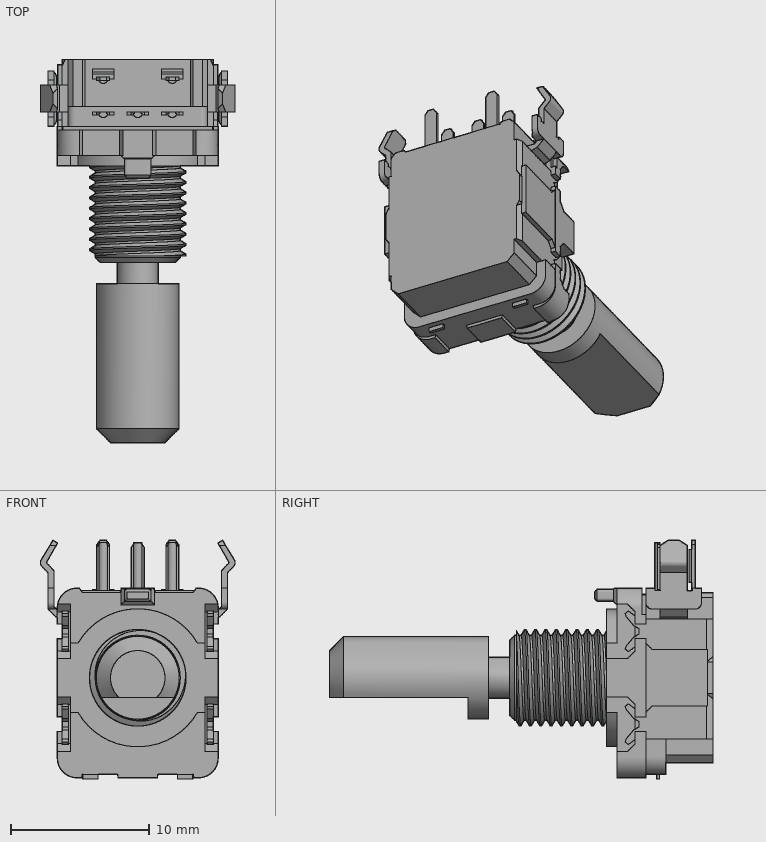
import cadquery as cq
import math


SHAFT_END = 20.04
SHAFT_START = 8.52
SHAFT_RADIUS = 3.0
SHAFT_CHAMFER = 1.03
FLAT_START = 10.02
FLAT_Z = -1.45
NECK_RADIUS = 1.5
BUSHING_LENGTH = 7.0
BUSHING_CHAMFER = 0.35
THREAD_LENGTH = 6.52
THREAD_RADIUS = 3.5
ROOT_RADIUS = 3.08
PITCH = 0.75
FLANK_ANGLE = 30
THREAD_OVERLAP = 0.05
CREST_WIDTH = 0.1
THREAD_PHASE = 0.45

HALF_WIDTH = 5.83
PLATE_FRONT = 0.75
PLATE_BACK = 2.85
PLATE_TOP = 6.5
PLATE_BOTTOM = -7.25
CORNER_RADIUS = 1.45
TOP_RELIEF_Z = 6.15
BOTTOM_RELIEF_Z = -7.0
RELIEF_HALF = 4.0
TOP_RELIEF_SLOPE = 0.22
TOP_PAD_HALF = 1.3
BOTTOM_PAD_HALF = 1.47
BOTTOM_RELIEF_SLOPE = 0.05
COLLAR_RADIUS = 5.0
COLLAR_BAND_HALF = 2.5
GROOVE_FRONT = 2.58
GROOVE_FLOOR_Z = 6.08
GROOVE_BOTTOM_Z = 4.58

NOTCH_Z = 3.35
NOTCH_HALF = 1.97
NOTCH_INNER_X = 4.85
NOTCH_BACK = 2.08
NOTCH_BEVEL = 0.55
RIVET_INNER_X = 5.02
RIVET_SLOT_HALF = 0.53
PRONG_ROOT_Z = 1.1
PRONG_TIP_OUTER = (1.58, 1.47)
PRONG_TIP_INNER = (1.35, 1.28)
PRONG_BEND = (1.42, 1.08)
MOUTH_EDGE = (1.97, 0.42)
MOUTH_ROOT = (2.35, 0.2)

HOUSING_BACK = 7.71
HOUSING_STEP = 4.3
HOUSING_HALF = 5.8
FOOT_BLOCK_RADIUS = 1.25
SIDE_X = 5.47
CORE_HALF = 5.05
CORE_TOP = 6.15
CORE_TOP_CHAMFER = 0.35
CORE_BOTTOM_CHAMFER = 0.58
TOP_POCKET_DEPTH = 0.17
FRONT_BLOCK_TOP = 6.33
FRONT_BLOCK_ROUND = 0.5
SIDE_TOP = 4.25
SIDE_BOTTOM = -4.4
SIDE_BEVEL_X = 0.22
SIDE_BEVEL_Y = 0.47
BLOCK_HALF_Z = 2.05
BLOCK_BACK = 7.33
LUG_ROOT_HALF = 1.53
LUG_TIP_HALF = 1.15
GUSSET_SIZE = 0.45

POST_HALF = 0.97
POST_TOP = 6.4
POST_BOTTOM = 5.52
POST_END = -0.85
POST_EDGE = 0.22
POST_END_CHAMFER = 0.2
POST_FLARE = 0.25

PIN_PITCH = 2.5
PIN_WIDTH = 0.95
PIN_BASE_WIDTH = 1.55
FRONT_BASE_TOP = 6.38
REAR_BASE_TOP = 5.88
PIN_SHOULDER = 0.33
PIN_TIP_WIDTH = 0.45
FRONT_PIN_Y = 3.7
FRONT_PIN_THICKNESS = 0.2
FRONT_PIN_TOP = 9.77
REAR_PIN_Y = 6.15
REAR_PIN_THICKNESS = 0.28
TOP_Z = 9.95
RIB_WIDTH = 0.6
RIB_HEIGHT = 0.2
REAR_RIB_BOTTOM = 6.9
REAR_RIB_TOP = 9.3
REAR_POCKET_Y = (6.27, 7.0)
REAR_POCKET_DEPTH = 0.42
REAR_BEND_START = 6.65
REAR_BEND_END = 6.8

CLIP_FRONT = 2.85
CLIP_BACK = 6.88
CLIP_BOTTOM = 4.97
CLIP_TOP = 6.5
CLIP_CORNER = 0.47
ARM_FRONT = 3.88
ARM_BACK = 5.85
ARM_RELIEF_WIDTH = 0.35
ARM_RELIEF_Z = 6.3
ARM_SHOULDER_Z = 9.57
ARM_TIP_HALF = 0.4
CLIP_OUTER_X = 6.5
CLIP_INNER_X = 6.05
CLIP_ELBOW_X = 7.05
BEND_RUN = 0.55
NECK_INNER = (5.65, 4.77)
INNER_BEND_Z = 5.13
KNEE_Z = 7.6
KNEE_INNER_Z = 7.75
ELBOW_Z = 8.32
ELBOW_INNER_X = 6.6
ELBOW_START = (6.97, 8.08)
ELBOW_END = (6.97, 8.57)
TIP_OUTER = (6.13, TOP_Z)
TIP_INNER = (5.8, 9.75)

FOOT_INNER_X = 2.85
FOOT_Y = (3.64, 3.85)
FOOT_BOTTOM = -7.33

JOIN = 0.15


def box(xs, ys, zs):
    size = (xs[1] - xs[0], ys[1] - ys[0], zs[1] - zs[0])
    return cq.Workplane("XY").box(*size, centered=False).translate((xs[0], ys[0], zs[0]))


def xz_prism(outline, y0, y1):
    """Extrude an (X, Z) outline from y0 to y1."""
    return cq.Workplane("XZ", origin=(0, y1, 0)).polyline(outline).close().extrude(y1 - y0)


def yz_prism(outline, x0, x1):
    """Extrude a (Y, Z) outline from x0 to x1."""
    return cq.Workplane("YZ", origin=(x0, 0, 0)).polyline(outline).close().extrude(x1 - x0)


def y_cylinder(radius, y0, y1):
    return cq.Workplane("XZ", origin=(0, y1, 0)).circle(radius).extrude(y1 - y0)


def with_mirrored_z(points):
    """Close an upper half outline with its mirror image below Z = 0."""
    return points + [(a, -z) for a, z in reversed(points)]


def both_sides(shape):
    return shape.union(shape.mirror("YZ"))


def make_shaft():
    neck = y_cylinder(NECK_RADIUS, -SHAFT_START - JOIN, -BUSHING_LENGTH + JOIN)
    shaft = y_cylinder(SHAFT_RADIUS, -SHAFT_END, -SHAFT_START).faces("<Y").chamfer(SHAFT_CHAMFER)
    below_flat = box(
        (-SHAFT_RADIUS, SHAFT_RADIUS), (-SHAFT_END, -FLAT_START), (-SHAFT_RADIUS, FLAT_Z)
    )
    return shaft.cut(below_flat).union(neck)


def make_bushing():
    core = y_cylinder(ROOT_RADIUS, -BUSHING_LENGTH, JOIN).faces("<Y").chamfer(BUSHING_CHAMFER)
    flank = math.tan(math.radians(FLANK_ANGLE))
    crest_half = CREST_WIDTH / 2
    base_half = crest_half + flank * (THREAD_RADIUS - ROOT_RADIUS + THREAD_OVERLAP)
    lead_in = 2 * PITCH - THREAD_PHASE
    turns = math.ceil((THREAD_LENGTH + lead_in) / PITCH) + 1
    path = cq.Wire.makeHelix(PITCH, turns * PITCH, ROOT_RADIUS)
    ridge = (
        cq.Workplane("XZ")
        .polyline([
            (ROOT_RADIUS - THREAD_OVERLAP, -base_half),
            (THREAD_RADIUS, -crest_half),
            (THREAD_RADIUS, crest_half),
            (ROOT_RADIUS - THREAD_OVERLAP, base_half),
        ])
        .close()
        .sweep(cq.Workplane(path), isFrenet=True)
        .rotate((0, 0, 0), (1, 0, 0), 90)
        .translate((0, lead_in, 0))
    )
    ridge = ridge.intersect(y_cylinder(THREAD_RADIUS + 0.28, -THREAD_LENGTH, JOIN))
    return core.union(ridge)


def make_plate():
    height = PLATE_TOP - PLATE_BOTTOM
    plate = (
        cq.Workplane("XZ", origin=(0, PLATE_BACK, (PLATE_TOP + PLATE_BOTTOM) / 2))
        .rect(2 * HALF_WIDTH, height)
        .extrude(PLATE_BACK - PLATE_FRONT)
        .edges("|Y")
        .fillet(CORNER_RADIUS)
    )
    for pad_half, edge, floor, slope in (
        (TOP_PAD_HALF, PLATE_TOP, TOP_RELIEF_Z, TOP_RELIEF_SLOPE),
        (BOTTOM_PAD_HALF, PLATE_BOTTOM, BOTTOM_RELIEF_Z, BOTTOM_RELIEF_SLOPE),
    ):
        relief = xz_prism(
            [
                (pad_half, floor),
                (pad_half - slope, edge),
                (RELIEF_HALF + slope, edge),
                (RELIEF_HALF, floor),
            ],
            PLATE_FRONT,
            PLATE_BACK,
        )
        plate = plate.cut(both_sides(relief))

    groove_y = (GROOVE_FRONT, PLATE_BACK)
    plate = plate.cut(box((-HALF_WIDTH, HALF_WIDTH), groove_y, (GROOVE_FLOOR_Z, PLATE_TOP)))
    plate = plate.cut(both_sides(box((SIDE_X, HALF_WIDTH), groove_y, (GROOVE_BOTTOM_Z, PLATE_TOP))))

    collar = y_cylinder(COLLAR_RADIUS, 0, PLATE_FRONT + JOIN)
    band = box(
        (-HALF_WIDTH, HALF_WIDTH), (0, PLATE_FRONT + JOIN), (-COLLAR_BAND_HALF, COLLAR_BAND_HALF)
    )
    return plate.union(collar).union(band)


def make_notch():
    """Notch on the +X side, centred on Z = 0, with the slot and mouth of the rivet."""
    bevel_front = NOTCH_BACK - NOTCH_BEVEL
    back_half = NOTCH_HALF - NOTCH_BEVEL
    upper = [(0, NOTCH_HALF), (bevel_front, NOTCH_HALF), (NOTCH_BACK, back_half)]
    notch = yz_prism(with_mirrored_z(upper), NOTCH_INNER_X, HALF_WIDTH)
    mouth = yz_prism(with_mirrored_z([MOUTH_EDGE, MOUTH_ROOT]), RIVET_INNER_X, SIDE_X)
    slot = box(
        (SIDE_X, HALF_WIDTH), (NOTCH_BACK - JOIN, PLATE_BACK), (-RIVET_SLOT_HALF, RIVET_SLOT_HALF)
    )
    return notch.union(slot).union(mouth)


def make_rivet():
    """Split rivet on the +X side, centred on Z = 0: two prongs bent apart."""
    upper = [
        (PLATE_BACK, RIVET_SLOT_HALF),
        (NOTCH_BACK, RIVET_SLOT_HALF),
        (NOTCH_BACK, PRONG_ROOT_Z),
        PRONG_TIP_OUTER,
        PRONG_TIP_INNER,
        PRONG_BEND,
        MOUTH_EDGE,
        MOUTH_ROOT,
    ]
    return yz_prism(with_mirrored_z(upper), RIVET_INNER_X, SIDE_X)


def make_housing():
    core = xz_prism(
        [
            (-CORE_HALF, CORE_TOP - CORE_TOP_CHAMFER),
            (-CORE_HALF + CORE_TOP_CHAMFER, CORE_TOP),
            (CORE_HALF - CORE_TOP_CHAMFER, CORE_TOP),
            (CORE_HALF, CORE_TOP - CORE_TOP_CHAMFER),
            (CORE_HALF, -CORE_TOP + CORE_BOTTOM_CHAMFER),
            (CORE_HALF - CORE_BOTTOM_CHAMFER, -CORE_TOP),
            (-CORE_HALF + CORE_BOTTOM_CHAMFER, -CORE_TOP),
            (-CORE_HALF, -CORE_TOP + CORE_BOTTOM_CHAMFER),
        ],
        PLATE_BACK,
        HOUSING_BACK,
    )
    pocket_floor = CORE_TOP - TOP_POCKET_DEPTH
    pocket_half = RELIEF_HALF - TOP_POCKET_DEPTH
    pocket = xz_prism(
        [
            (-pocket_half, pocket_floor),
            (pocket_half, pocket_floor),
            (RELIEF_HALF, CORE_TOP),
            (-RELIEF_HALF, CORE_TOP),
        ],
        HOUSING_STEP,
        HOUSING_BACK,
    )
    front_block = (
        box((-CORE_HALF, CORE_HALF), (PLATE_BACK, HOUSING_STEP), (0, FRONT_BLOCK_TOP))
        .edges("|Y and >Z")
        .fillet(FRONT_BLOCK_ROUND)
    )
    foot_block = (
        box(
            (-HOUSING_HALF, HOUSING_HALF),
            (PLATE_BACK - JOIN, HOUSING_STEP),
            (BOTTOM_RELIEF_Z, SIDE_BOTTOM),
        )
        .edges("|Y and <Z")
        .fillet(FOOT_BLOCK_RADIUS)
    )
    return core.cut(pocket).union(front_block).union(foot_block)


def make_side_walls():
    wall = (
        cq.Workplane("XY", origin=(0, 0, SIDE_BOTTOM))
        .polyline([
            (0, PLATE_BACK - JOIN),
            (SIDE_X, PLATE_BACK - JOIN),
            (SIDE_X, HOUSING_BACK - SIDE_BEVEL_Y),
            (SIDE_X - SIDE_BEVEL_X, HOUSING_BACK),
            (0, HOUSING_BACK),
        ])
        .close()
        .extrude(SIDE_TOP - SIDE_BOTTOM)
    )
    block = box(
        (SIDE_X - JOIN, HOUSING_HALF),
        (PLATE_BACK - JOIN, BLOCK_BACK),
        (-BLOCK_HALF_Z, BLOCK_HALF_Z),
    )
    lug_root_x = SIDE_X - SIDE_BEVEL_X
    lug = xz_prism(
        [
            (lug_root_x, -LUG_ROOT_HALF),
            (SIDE_X, -LUG_TIP_HALF),
            (SIDE_X, LUG_TIP_HALF),
            (lug_root_x, LUG_ROOT_HALF),
        ],
        BLOCK_BACK - JOIN,
        HOUSING_BACK,
    )
    gusset_half = BLOCK_HALF_Z + GUSSET_SIZE
    gusset = yz_prism(
        [
            (PLATE_BACK, -gusset_half),
            (PLATE_BACK + GUSSET_SIZE, -BLOCK_HALF_Z),
            (PLATE_BACK + GUSSET_SIZE, BLOCK_HALF_Z),
            (PLATE_BACK, gusset_half),
        ],
        SIDE_X - JOIN,
        HOUSING_HALF,
    )
    return both_sides(wall.union(block).union(lug).union(gusset))


def make_post():
    middle_z = (POST_TOP + POST_BOTTOM) / 2
    height = POST_TOP - POST_BOTTOM
    post = (
        cq.Workplane("XZ", origin=(0, PLATE_FRONT + JOIN, middle_z))
        .rect(2 * POST_HALF, height)
        .extrude(PLATE_FRONT + JOIN - POST_END)
        .edges("|Y")
        .fillet(POST_EDGE)
        .faces("<Y")
        .chamfer(POST_END_CHAMFER)
    )
    flare = (
        cq.Workplane("XZ", origin=(0, PLATE_FRONT, middle_z))
        .rect(2 * (POST_HALF + POST_FLARE), height + 2 * POST_FLARE)
        .workplane(offset=POST_FLARE)
        .rect(2 * POST_HALF, height)
        .loft()
    )
    above_pad = box(
        (-HALF_WIDTH, HALF_WIDTH), (0, PLATE_FRONT), (PLATE_TOP, PLATE_TOP + 2 * POST_FLARE)
    )
    return post.union(flare.cut(above_pad))


def make_pin(x, y0, thickness, top, base_top, rib_bottom, rib_top):
    """Flat terminal with a tapered tip and a rounded rib pressed out toward -Y."""
    root = CORE_TOP - 2 * REAR_POCKET_DEPTH
    half = PIN_WIDTH / 2
    tip_half = PIN_TIP_WIDTH / 2
    blade = xz_prism(
        [
            (-half, root),
            (half, root),
            (half, top - PIN_SHOULDER),
            (tip_half, top),
            (-tip_half, top),
            (-half, top - PIN_SHOULDER),
        ],
        y0,
        y0 + thickness,
    )
    rib_half = RIB_WIDTH / 2
    rib = (
        cq.Workplane("XY", origin=(0, y0, rib_bottom))
        .moveTo(-rib_half, thickness / 2)
        .lineTo(-rib_half, 0)
        .threePointArc((0, -RIB_HEIGHT), (rib_half, 0))
        .lineTo(rib_half, thickness / 2)
        .close()
        .extrude(rib_top - rib_bottom)
    )
    base_half = PIN_BASE_WIDTH / 2
    base = box((-base_half, base_half), (y0, y0 + thickness), (root, base_top))
    return blade.union(rib).union(base).translate((x, 0, 0))


def make_rear_bend(x):
    """Sloped bend that leads a rear terminal backward along the floor of its pocket."""
    floor = CORE_TOP - REAR_POCKET_DEPTH
    return yz_prism(
        [
            (REAR_PIN_Y + REAR_PIN_THICKNESS, floor - JOIN),
            (REAR_BEND_END, floor - JOIN),
            (REAR_BEND_END, floor),
            (REAR_BEND_START, REAR_BASE_TOP),
            (REAR_PIN_Y + REAR_PIN_THICKNESS, REAR_BASE_TOP),
        ],
        x - PIN_BASE_WIDTH / 2,
        x + PIN_BASE_WIDTH / 2,
    )


def make_clip():
    """Spring clip on the +X side: bent strip profile trimmed to the clip's side outline."""
    root_x = CORE_HALF - JOIN
    strip = (
        cq.Workplane("XZ", origin=(0, CLIP_BACK, 0))
        .moveTo(root_x, SIDE_TOP)
        .lineTo(CLIP_OUTER_X - 2 * BEND_RUN, SIDE_TOP)
        .lineTo(CLIP_OUTER_X - BEND_RUN, CLIP_BOTTOM - BEND_RUN)
        .lineTo(CLIP_OUTER_X, CLIP_BOTTOM)
        .lineTo(CLIP_OUTER_X, KNEE_Z)
        .lineTo(*ELBOW_START)
        .threePointArc((CLIP_ELBOW_X, ELBOW_Z), ELBOW_END)
        .lineTo(*TIP_OUTER)
        .lineTo(*TIP_INNER)
        .lineTo(ELBOW_INNER_X, ELBOW_Z)
        .lineTo(CLIP_INNER_X, KNEE_INNER_Z)
        .lineTo(CLIP_INNER_X, INNER_BEND_Z)
        .lineTo(*NECK_INNER)
        .lineTo(root_x, NECK_INNER[1])
        .close()
        .extrude(CLIP_BACK - CLIP_FRONT)
    )
    reach = (CORE_HALF - 2 * JOIN, CLIP_ELBOW_X + JOIN)
    base = (
        box(reach, (CLIP_FRONT, CLIP_BACK), (CLIP_BOTTOM, CLIP_TOP))
        .edges("|X and <Z")
        .fillet(CLIP_CORNER)
    )
    for y0, y1 in ((ARM_FRONT - ARM_RELIEF_WIDTH, ARM_FRONT), (ARM_BACK, ARM_BACK + ARM_RELIEF_WIDTH)):
        base = base.cut(box(reach, (y0, y1), (ARM_RELIEF_Z, CLIP_TOP)))
    middle = (ARM_FRONT + ARM_BACK) / 2
    arm = yz_prism(
        [
            (ARM_FRONT, SIDE_TOP),
            (ARM_BACK, SIDE_TOP),
            (ARM_BACK, ARM_SHOULDER_Z),
            (middle + ARM_TIP_HALF, TOP_Z),
            (middle - ARM_TIP_HALF, TOP_Z),
            (ARM_FRONT, ARM_SHOULDER_Z),
        ],
        *reach,
    )
    return strip.intersect(base.union(arm))


body = make_plate().union(make_housing()).union(make_side_walls())

for notch_z in (NOTCH_Z, -NOTCH_Z):
    body = body.cut(both_sides(make_notch().translate((0, 0, notch_z))))
    body = body.union(both_sides(make_rivet().translate((0, 0, notch_z))))

body = body.union(make_post())

for pin_x in (-PIN_PITCH, 0, PIN_PITCH):
    front_pin = make_pin(
        pin_x, FRONT_PIN_Y, FRONT_PIN_THICKNESS, FRONT_PIN_TOP, FRONT_BASE_TOP, CORE_TOP, FRONT_PIN_TOP
    )
    body = body.union(front_pin)

for pin_x in (-PIN_PITCH, PIN_PITCH):
    pocket_x = (pin_x - PIN_BASE_WIDTH / 2, pin_x + PIN_BASE_WIDTH / 2)
    body = body.cut(box(pocket_x, REAR_POCKET_Y, (CORE_TOP - REAR_POCKET_DEPTH, CORE_TOP)))
    rear_pin = make_pin(
        pin_x, REAR_PIN_Y, REAR_PIN_THICKNESS, TOP_Z, REAR_BASE_TOP, REAR_RIB_BOTTOM, REAR_RIB_TOP
    )
    body = body.union(rear_pin).union(make_rear_bend(pin_x))

body = body.union(both_sides(make_clip()))
body = body.union(both_sides(
    box((FOOT_INNER_X, RELIEF_HALF), FOOT_Y, (FOOT_BOTTOM, BOTTOM_RELIEF_Z + JOIN))
))

result = body.union(make_bushing()).union(make_shaft())